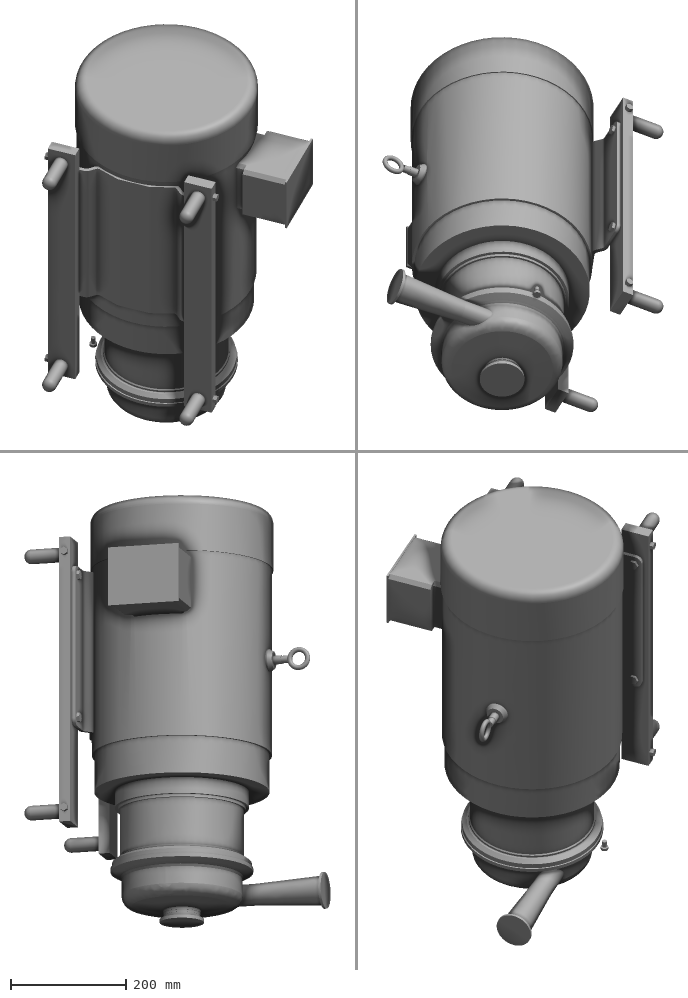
import cadquery as cq
import math


cap_radius = 159.0
cap_edge_radius = 18.0
cap_bottom = 626.5
overall_height = 728.0
barrel_radius = 156.5
barrel_bottom = 298.0
skirt_radius = 152.0
skirt_bottom = 232.0

spigot_radius = 116.5
spigot_bottom = 204.0
shoulder_radius = 111.0
shoulder_bottom = 199.0
neck_radius = 108.0
neck_bottom = 116.0

clamp_lip_radius = 110.0
clamp_lip_top = 114.0
clamp_ledge_radius = 113.5
clamp_ledge_z = 110.5
clamp_upper_radius = 121.5
clamp_top = 105.0
clamp_split_z = 96.0
clamp_lower_radius = 124.0
clamp_bottom = 89.5
clamp_root_radius = 110.5
clamp_root_z = 83.0
bowl_rim_radius = 107.0
bowl_rim_z = 81.0

bowl_radius = 105.0
bowl_top = 76.5
bowl_corner_z = 30.0
bowl_corner_radius = 19.0
bowl_bottom = 21.0

inlet_collar_diameter = 65.5
inlet_collar_bottom = 17.0
inlet_step_diameter = 64.0
inlet_step_bottom = 12.5
inlet_tube_diameter = 63.0
inlet_tube_bottom = 7.0
inlet_flange_diameter = 77.0
inlet_flange_thickness = 6.0

discharge_x = -66.0
discharge_z = 57.5
discharge_end = 240.0
discharge_flange_diameter = 64.0
discharge_flange_thickness = 4.5
discharge_mouth_diameter = 51.0
discharge_mouth_start = 228.5
discharge_mouth_end = 234.0
discharge_root_diameter = 38.0
discharge_cone_start = 113.0
discharge_root_start = 36.5

eye_z = 457.0
eye_base_diameter = 39.0
eye_base_top_diameter = 30.5
eye_base_bottom = 153.0
eye_base_shoulder = 159.0
eye_base_top = 166.0
eye_collar_diameter = 15.0
eye_collar_end = 180.0
eye_stem_diameter = 13.0
eye_stem_end = 191.5
eye_ring_centre = 210.0
eye_ring_radius = 16.0
eye_ring_wire_diameter = 9.0

box_bottom = 514.0
box_top = 616.0
box_half_width = 62.5
box_inner_x = 165.0
box_outer_x = 247.5
box_chamfer_y = 7.0
box_chamfer_z = 6.0
lid_thickness = 4.0
lid_overhang = 1.0
box_neck_half_width = 50.0

rail_width = 51.0
rail_thickness = 20.0
rail_centre_x = 126.5
rail_back_y = -159.0
rail_bottom = 157.0
rail_top = 664.0
lower_leg_z = 181.0
upper_leg_z = 637.5
leg_centre_x = 127.0
leg_diameter = 25.5
leg_tip_y = -247.5
side_screw_corner_diameter = 14.0
side_screw_height = 7.0

bracket_bottom = 330.5
bracket_top = 616.0
sheet_thickness = 6.5
bracket_seat_half_width = 30.0
bracket_crest_x = 72.0
bracket_crest_y = -143.5
bracket_foot_x = 87.0
bracket_end_x = 142.0
bracket_corner_radius = 12.5
inner_bend_radius = 6.5
seat_inner_radius = 12.0
bracket_bolt_inset = 16.0
bracket_bolt_corner_diameter = 17.5
bracket_bolt_height = 5.0

bolt_x = -136.0
bolt_bottom = 84.5
bolt_foot_diameter = 13.0
bolt_foot_top = 89.5
bolt_shank_diameter = 6.3
bolt_shank_top = 94.5
bolt_head_diameter = 8.0
bolt_head_top = 102.0


def turned_about_z(outline):
    """Solid of revolution about Z from (radius, z) points; the axis closes the outline."""
    return cq.Workplane("XZ").polyline(outline).close().revolve(360, (0, 0, 0), (0, 1, 0))


def turned_along_y(outline, x, z):
    """Solid of revolution from (radius, y) points, about the line along Y through (x, z)."""
    turned = cq.Workplane("XY").polyline(outline).close().revolve(360, (0, 0, 0), (0, 1, 0))
    return turned.translate((x, 0, z))


def make_motor():
    cap = (
        cq.Workplane("XY", origin=(0, 0, cap_bottom))
        .circle(cap_radius)
        .extrude(overall_height - cap_bottom)
        .faces(">Z")
        .edges()
        .fillet(cap_edge_radius)
    )
    body = turned_about_z([
        (0, cap_bottom),
        (barrel_radius, cap_bottom),
        (barrel_radius, barrel_bottom),
        (skirt_radius, barrel_bottom),
        (skirt_radius, skirt_bottom),
        (0, skirt_bottom),
    ])
    return body.union(cap)


def make_adapter_and_clamp():
    return turned_about_z([
        (0, skirt_bottom),
        (spigot_radius, skirt_bottom),
        (spigot_radius, spigot_bottom),
        (shoulder_radius, spigot_bottom),
        (shoulder_radius, shoulder_bottom),
        (neck_radius, shoulder_bottom),
        (neck_radius, neck_bottom),
        (clamp_lip_radius, clamp_lip_top),
        (clamp_lip_radius, clamp_ledge_z),
        (clamp_ledge_radius, clamp_ledge_z),
        (clamp_upper_radius, clamp_top),
        (clamp_upper_radius, clamp_split_z),
        (clamp_lower_radius, clamp_split_z),
        (clamp_lower_radius, clamp_bottom),
        (clamp_root_radius, clamp_root_z),
        (bowl_rim_radius, bowl_rim_z),
        (bowl_radius, bowl_top),
        (0, bowl_top),
    ])


def make_bowl():
    bowl = turned_about_z([
        (0, bowl_top),
        (bowl_radius, bowl_top),
        (bowl_radius, bowl_corner_z),
        (inlet_collar_diameter / 2, bowl_bottom),
        (0, bowl_bottom),
    ])
    corner_height = bowl_corner_z - bowl_bottom
    corner = cq.selectors.BoxSelector(
        (-2 * bowl_radius, -2 * bowl_radius, bowl_corner_z - corner_height / 2),
        (2 * bowl_radius, 2 * bowl_radius, bowl_corner_z + corner_height / 2),
    )
    return bowl.edges("%CIRCLE").edges(corner).fillet(bowl_corner_radius)


def make_inlet():
    collar_radius = inlet_collar_diameter / 2
    step_radius = inlet_step_diameter / 2
    tube_radius = inlet_tube_diameter / 2
    flange_radius = inlet_flange_diameter / 2
    return turned_about_z([
        (0, bowl_bottom),
        (collar_radius, bowl_bottom),
        (collar_radius, inlet_collar_bottom),
        (step_radius, inlet_collar_bottom),
        (step_radius, inlet_step_bottom),
        (tube_radius, inlet_step_bottom),
        (tube_radius, inlet_tube_bottom),
        (flange_radius, inlet_flange_thickness),
        (flange_radius, 0),
        (0, 0),
    ])


def make_discharge():
    root_radius = discharge_root_diameter / 2
    mouth_radius = discharge_mouth_diameter / 2
    flange_radius = discharge_flange_diameter / 2
    outline = [
        (0, discharge_root_start),
        (root_radius, discharge_root_start),
        (root_radius, discharge_cone_start),
        (mouth_radius, discharge_mouth_start),
        (mouth_radius, discharge_mouth_end),
        (flange_radius, discharge_end - discharge_flange_thickness),
        (flange_radius, discharge_end),
        (0, discharge_end),
    ]
    return turned_along_y(outline, discharge_x, discharge_z)


def make_eye_bolt():
    stem = turned_along_y(
        [
            (0, eye_base_bottom),
            (eye_base_diameter / 2, eye_base_bottom),
            (eye_base_diameter / 2, eye_base_shoulder),
            (eye_base_top_diameter / 2, eye_base_top),
            (eye_collar_diameter / 2, eye_base_top),
            (eye_collar_diameter / 2, eye_collar_end),
            (eye_stem_diameter / 2, eye_collar_end),
            (eye_stem_diameter / 2, eye_stem_end),
            (0, eye_stem_end),
        ],
        0,
        eye_z,
    )
    ring = cq.Solid.makeTorus(
        eye_ring_radius,
        eye_ring_wire_diameter / 2,
        cq.Vector(0, eye_ring_centre, eye_z),
        cq.Vector(1, 0, 0),
    )
    return stem.union(cq.Workplane(ring))


def chamfered_bar(x_start, x_end, half_width, z_bottom, z_top):
    """Bar along X whose four long edges are chamfered."""
    side_y = half_width - box_chamfer_y
    side_bottom = z_bottom + box_chamfer_z
    side_top = z_top - box_chamfer_z
    return (
        cq.Workplane("YZ", origin=(x_start, 0, 0))
        .polyline([
            (-side_y, z_bottom),
            (side_y, z_bottom),
            (half_width, side_bottom),
            (half_width, side_top),
            (side_y, z_top),
            (-side_y, z_top),
            (-half_width, side_top),
            (-half_width, side_bottom),
        ])
        .close()
        .extrude(x_end - x_start)
    )


def make_terminal_box():
    lid_start = box_outer_x - lid_thickness
    box = chamfered_bar(box_inner_x, lid_start, box_half_width, box_bottom, box_top)
    neck = chamfered_bar(
        barrel_radius - cap_edge_radius,
        box_inner_x,
        box_neck_half_width,
        box_bottom,
        box_top,
    )
    lid = cq.Workplane("XY", origin=(lid_start, 0, (box_bottom + box_top) / 2)).box(
        lid_thickness,
        2 * (box_half_width + lid_overhang),
        box_top - box_bottom + 2 * lid_overhang,
        centered=(False, True, True),
    )
    return box.union(neck).union(lid)


def mitred_back(before, corner, after):
    """Point on the back of the sheet opposite a bend in its front face."""
    heading_in = math.atan2(corner[1] - before[1], corner[0] - before[0])
    heading_out = math.atan2(after[1] - corner[1], after[0] - corner[0])
    square_to_bend = (heading_in + heading_out) / 2 + math.pi / 2
    reach = sheet_thickness / math.cos((heading_out - heading_in) / 2)
    return (corner[0] + reach * math.cos(square_to_bend), corner[1] + reach * math.sin(square_to_bend))


def make_bracket():
    """Sheet lying flat under the barrel, rising to a crest and dropping to a foot on each rail."""
    height = bracket_top - bracket_bottom
    foot_back_y = rail_back_y + sheet_thickness
    middle = (0, rail_back_y)
    seat = (bracket_seat_half_width, rail_back_y)
    crest = (bracket_crest_x, bracket_crest_y)
    foot = (bracket_foot_x, rail_back_y)
    end = (bracket_end_x, rail_back_y)
    seat_back = mitred_back(middle, seat, crest)
    crest_back = mitred_back(seat, crest, foot)
    foot_back = mitred_back(crest, foot, end)
    end_back = (bracket_end_x, foot_back_y)

    right = [seat, crest, foot, end, end_back, foot_back, crest_back, seat_back]
    left = [(-x, y) for x, y in reversed(right)]
    sheet = (
        cq.Workplane("XY", origin=(0, 0, bracket_bottom))
        .polyline(right + left)
        .close()
        .extrude(height)
    )

    outer_bend_radius = inner_bend_radius + sheet_thickness
    bends = [
        (seat, seat_inner_radius + sheet_thickness),
        (seat_back, seat_inner_radius),
        (crest, inner_bend_radius),
        (crest_back, outer_bend_radius),
        (foot, outer_bend_radius),
        (foot_back, inner_bend_radius),
    ]
    middle_z = (bracket_bottom + bracket_top) / 2
    for (x, y), radius in bends:
        for side in (-1, 1):
            bend = cq.selectors.NearestToPointSelector((side * x, y, middle_z))
            sheet = sheet.edges("|Z").edges(bend).fillet(radius)
    sheet = sheet.edges("|Y and (>X or <X)").fillet(bracket_corner_radius)

    bolt_heads = (
        cq.Workplane("XZ", origin=(0, foot_back_y, middle_z))
        .rarray(2 * leg_centre_x, height - 2 * bracket_bolt_inset, 2, 2)
        .polygon(6, bracket_bolt_corner_diameter)
        .extrude(-bracket_bolt_height)
    )
    return sheet.union(bolt_heads)


def make_pump_unit():
    """Motor, pump, clamp ring and bracket as one solid."""
    unit = make_motor().union(make_adapter_and_clamp()).union(make_bowl())
    unit = unit.union(make_inlet()).union(make_discharge())
    return unit.union(make_eye_bolt()).union(make_terminal_box()).union(make_bracket())


def make_rail(side):
    """Rail with two round-nosed legs and two side screws; side is -1 or 1 along X."""
    centre_x = side * rail_centre_x
    leg_x = side * leg_centre_x
    front_y = rail_back_y - rail_thickness
    middle_y = rail_back_y - rail_thickness / 2
    leg_radius = leg_diameter / 2
    rail = cq.Workplane("XY", origin=(centre_x, middle_y, rail_bottom)).box(
        rail_width, rail_thickness, rail_top - rail_bottom, centered=(True, True, False)
    )
    for z in (lower_leg_z, upper_leg_z):
        leg = (
            cq.Workplane("XZ", origin=(leg_x, front_y, z))
            .circle(leg_radius)
            .extrude(front_y - leg_tip_y - leg_radius)
        )
        nose = cq.Workplane("XY", origin=(leg_x, leg_tip_y + leg_radius, z)).sphere(leg_radius)
        side_screw = (
            cq.Workplane("YZ", origin=(centre_x + side * rail_width / 2, middle_y, z))
            .transformed(rotate=(0, 0, 90))
            .polygon(6, side_screw_corner_diameter)
            .extrude(side * side_screw_height)
        )
        rail = rail.union(leg).union(nose).union(side_screw)
    return rail


def make_clamp_bolt():
    bolt = turned_about_z([
        (0, bolt_bottom),
        (bolt_foot_diameter / 2, bolt_bottom),
        (bolt_foot_diameter / 2, bolt_foot_top),
        (bolt_shank_diameter / 2, bolt_foot_top),
        (bolt_shank_diameter / 2, bolt_shank_top),
        (bolt_head_diameter / 2, bolt_shank_top),
        (bolt_head_diameter / 2, bolt_head_top),
        (0, bolt_head_top),
    ])
    return bolt.translate((bolt_x, 0, 0))


pump_unit = make_pump_unit()
clamp_bolt = make_clamp_bolt()
rails = [make_rail(side) for side in (-1, 1)]

result = cq.Compound.makeCompound([
    pump_unit.val(),
    clamp_bolt.val(),
    *[rail.val() for rail in rails],
])